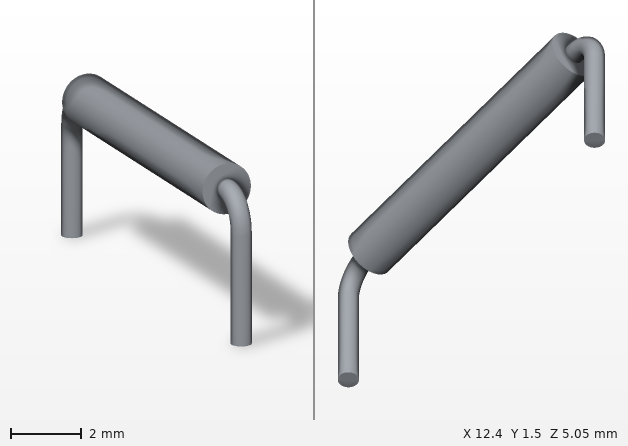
import cadquery as cq

wire_diameter = 0.6
body_diameter = 1.5
body_length = 9.79
overall_length = 12.41
overall_height = 5.05
bend_radius = 1.0

leg_x = (overall_length - wire_diameter) / 2
bend_start_x = leg_x - bend_radius
leg_bottom_z = body_diameter / 2 - overall_height


def make_body():
    """Cylindrical body lying along X."""
    left_end = cq.Workplane("YZ", origin=(-body_length / 2, 0, 0))
    return left_end.circle(body_diameter / 2).extrude(body_length)


def make_straight_wire():
    """Wire through the body, up to the start of both bends."""
    left_end = cq.Workplane("YZ", origin=(-bend_start_x, 0, 0))
    return left_end.circle(wire_diameter / 2).extrude(2 * bend_start_x)


def make_bend(side):
    """Quarter-torus elbow from the body axis down to a leg; side is +1 or -1 along X."""
    path = (
        cq.Workplane("XZ")
        .moveTo(side * bend_start_x, 0)
        .radiusArc((side * leg_x, -bend_radius), side * bend_radius)
    )
    section = cq.Workplane("YZ", origin=(side * bend_start_x, 0, 0)).circle(wire_diameter / 2)
    return section.sweep(path)


def make_leg(side):
    """Straight vertical leg below the bend."""
    top = cq.Workplane("XY", origin=(side * leg_x, 0, -bend_radius))
    return top.circle(wire_diameter / 2).extrude(leg_bottom_z + bend_radius)


result = make_body().union(make_straight_wire())
for side in (-1, 1):
    result = result.union(make_bend(side)).union(make_leg(side))